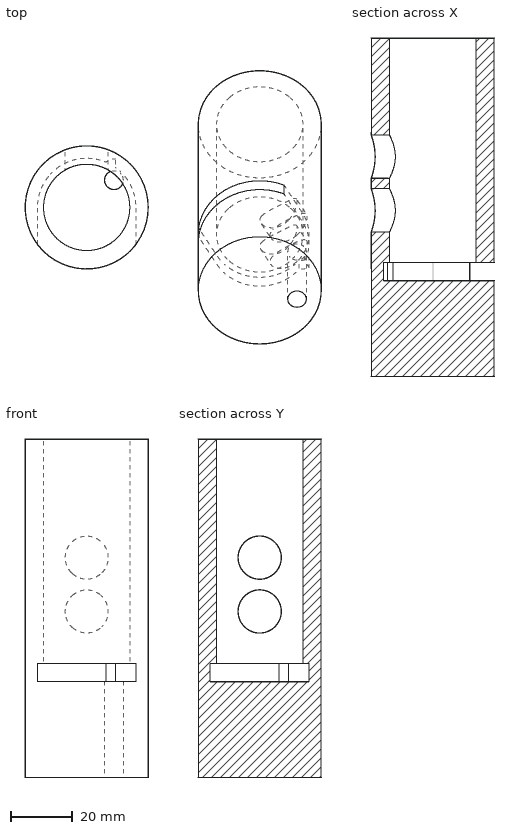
import cadquery as cq
import math

LENGTH = 110.0
OUTER_DIAMETER = 40.0
BORE_DIAMETER = 28.0

SLOT_FLOOR = 31.2
SLOT_HEIGHT = 5.8
SLOT_WIDTH = 32.0

RELIEF_LEFT = 6.3
RELIEF_RIGHT = 9.4
RELIEF_RADIUS = 5.1

BASE_HOLE_DIAMETER = 6.0
BASE_HOLE_OFFSET = 12.5
BASE_HOLE_ANGLE = 45

PORT_DIAMETER = 14.0
LOWER_PORT_HEIGHT = 54.0
PORT_SPACING = 17.5

outer_radius = OUTER_DIAMETER / 2
slot_radius = SLOT_WIDTH / 2


def make_sleeve():
    """Cylinder with a blind bore from the top."""
    body = cq.Workplane("XY").circle(outer_radius).extrude(LENGTH)
    bore = (
        cq.Workplane("XY", origin=(0, 0, SLOT_FLOOR))
        .circle(BORE_DIAMETER / 2)
        .extrude(LENGTH - SLOT_FLOOR)
    )
    return body.cut(bore)


def make_slot():
    """U-shaped pocket open toward -Y, with a semicircular back wall."""
    return (
        cq.Workplane("XY", origin=(0, 0, SLOT_FLOOR))
        .moveTo(-slot_radius, -outer_radius)
        .lineTo(slot_radius, -outer_radius)
        .lineTo(slot_radius, 0)
        .threePointArc((0, slot_radius), (-slot_radius, 0))
        .close()
        .extrude(SLOT_HEIGHT)
    )


def make_relief():
    """Notch with a curved back and a straight right wall."""
    left_y = math.sqrt(slot_radius**2 - RELIEF_LEFT**2)
    arc_rise = math.sqrt(RELIEF_RADIUS**2 - (RELIEF_RIGHT - RELIEF_LEFT) ** 2)
    back_y = left_y + RELIEF_RADIUS - arc_rise
    return (
        cq.Workplane("XY", origin=(0, 0, SLOT_FLOOR))
        .moveTo(RELIEF_LEFT, 0)
        .lineTo(RELIEF_RIGHT, 0)
        .lineTo(RELIEF_RIGHT, back_y)
        .radiusArc((RELIEF_LEFT, left_y), -RELIEF_RADIUS)
        .close()
        .extrude(SLOT_HEIGHT)
    )


def make_base_hole():
    """Vertical hole from the bore floor through the bottom face."""
    angle = math.radians(BASE_HOLE_ANGLE)
    return (
        cq.Workplane("XY")
        .center(BASE_HOLE_OFFSET * math.cos(angle), BASE_HOLE_OFFSET * math.sin(angle))
        .circle(BASE_HOLE_DIAMETER / 2)
        .extrude(SLOT_FLOOR)
    )


def make_port(height):
    """Round port running along +Y from the bore axis to the outside."""
    return (
        cq.Workplane("XZ", origin=(0, 0, height))
        .circle(PORT_DIAMETER / 2)
        .extrude(-outer_radius)
    )


result = make_sleeve().cut(make_slot()).cut(make_relief()).cut(make_base_hole())
for port_index in range(2):
    result = result.cut(make_port(LOWER_PORT_HEIGHT + port_index * PORT_SPACING))